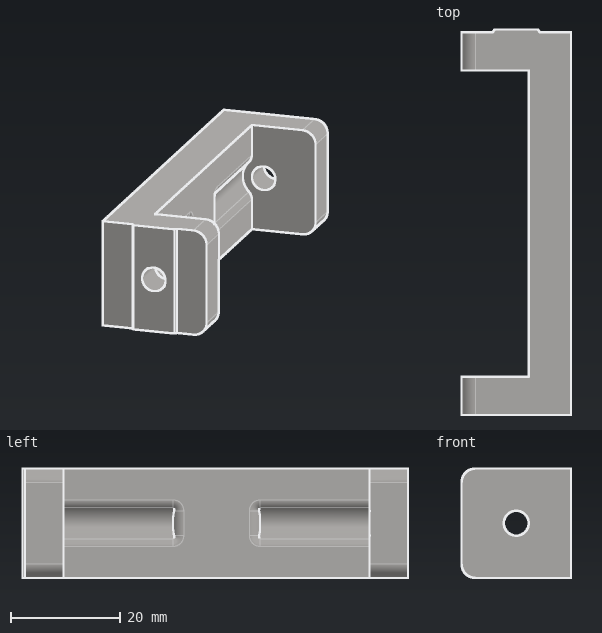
import cadquery as cq
import math

length = 70.5
side = 20.0
rib_height = 0.5
body_length = length - rib_height
mid_y = body_length / 2
mid_side = side / 2

leg_thickness = 7.05
back_thickness = 7.75
inner_x = side - back_thickness
tip_radius = 2.55
hole_diameter = 4.5

rib_base_width = 8.6
rib_top_width = 7.9

groove_radius = 4.0
rim_radius = 2.0
groove_gap = 12.0

axis_to_wall = inner_x - mid_side
center_distance = groove_radius + rim_radius
rim_center_x = inner_x + rim_radius
groove_half_width = math.sqrt(center_distance**2 - (axis_to_wall + rim_radius) ** 2)


def make_body():
    """U-shaped bracket with rounded leg tips."""
    block = cq.Workplane("XY").box(side, body_length, side, centered=False)
    block = block.edges("|Y and <X").fillet(tip_radius)
    opening = (
        cq.Workplane("XY")
        .box(inner_x, body_length - 2 * leg_thickness, side, centered=False)
        .translate((0, leg_thickness, 0))
    )
    return block.cut(opening)


def make_rib():
    """Full-height rib with sloped flanks on the +Y end."""
    return (
        cq.Workplane("XY")
        .polyline(
            [
                (mid_side - rib_base_width / 2, body_length),
                (mid_side + rib_base_width / 2, body_length),
                (mid_side + rib_top_width / 2, length),
                (mid_side - rib_top_width / 2, length),
            ]
        )
        .close()
        .extrude(side)
    )


def make_channel(start_y, run):
    """Groove cross-section, with both rims rounded over, extruded along +Y."""
    tangent_ratio = groove_radius / center_distance
    tangent_x = mid_side + (axis_to_wall + rim_radius) * tangent_ratio
    tangent_z = groove_half_width * tangent_ratio
    to_wall = math.hypot(inner_x - tangent_x, groove_half_width - tangent_z) / 2
    rim_sagitta = rim_radius - math.sqrt(rim_radius**2 - to_wall**2)
    return (
        cq.Workplane("XZ", origin=(0, start_y, mid_side))
        .moveTo(inner_x, -groove_half_width)
        .sagittaArc((tangent_x, -tangent_z), rim_sagitta)
        .threePointArc((mid_side + groove_radius, 0), (tangent_x, tangent_z))
        .sagittaArc((inner_x, groove_half_width), rim_sagitta)
        .close()
        .extrude(-run)
    )


def flare_profile(wall_y, z):
    """Section of the rounded-over end, widening towards the wall surface."""
    arc_offset = rim_radius * (1 - math.sqrt(0.5))
    return (
        cq.Workplane("XY", origin=(0, wall_y, z))
        .moveTo(inner_x, 0)
        .lineTo(inner_x, rim_radius)
        .threePointArc((inner_x + arc_offset, arc_offset), (rim_center_x, 0))
        .close()
    )


def make_groove():
    """Groove from the -Y leg towards the middle, with a flared end."""
    wall_y = mid_y - groove_gap / 2 - rim_radius
    channel = make_channel(leg_thickness, wall_y - leg_thickness)
    corner_z = groove_half_width - rim_radius
    flare = flare_profile(wall_y, mid_side - corner_z).extrude(2 * corner_z)
    for z in (mid_side - corner_z, mid_side + corner_z):
        flare = flare.union(flare_profile(wall_y, z).revolve(360, (0, 0, 0), (1, 0, 0)))
    end = make_channel(wall_y, rim_radius).intersect(flare)
    return channel.union(end)


def make_hole():
    """Through hole along the full length of the part."""
    return cq.Workplane("XZ", origin=(mid_side, 0, mid_side)).circle(hole_diameter / 2).extrude(-length)


groove = make_groove()
opposite_groove = groove.mirror("XZ", (0, mid_y, 0))
result = make_body().union(make_rib()).cut(groove).cut(opposite_groove).cut(make_hole())